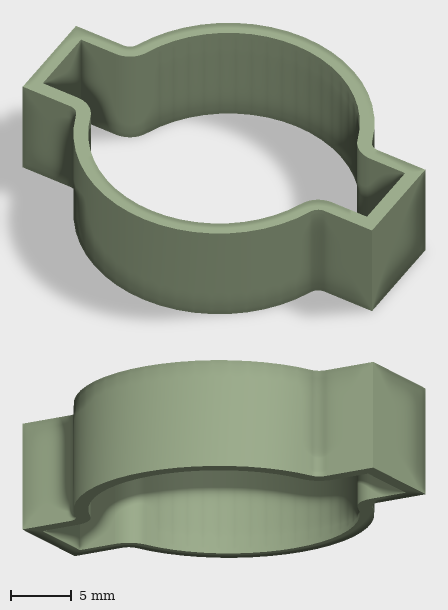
import cadquery as cq

length = 33.5
ring_span = 25.5
bulge_radius = 12.0
tab_width = 8.5
wall = 1.2
height = 9.1
neck_radius = 1.0

bulge_offset = ring_span / 2 - bulge_radius


def band_prism(inset, blend_radius):
    """Solid within the band's outer outline moved inward by inset."""
    bulges = (
        cq.Workplane("XY")
        .pushPoints([(0, bulge_offset), (0, -bulge_offset)])
        .circle(bulge_radius - inset)
        .extrude(height)
    )
    tabs = cq.Workplane("XY").rect(length - 2 * inset, tab_width - 2 * inset).extrude(height)
    necks = "|Z and (not <X) and (not >X)"
    return bulges.union(tabs).edges(necks).fillet(blend_radius)


outer = band_prism(0, neck_radius)
cavity = band_prism(wall, neck_radius + wall)
result = outer.cut(cavity)